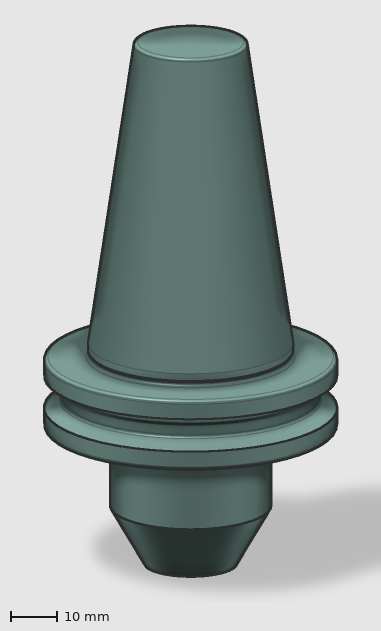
import cadquery as cq
import math

total_height = 118.2
flange_radius = 63.5 / 2

gauge_radius = 22.2
taper_length = 68.3
taper_ratio = 7 / 24
gauge_z = total_height - taper_length
shank_top_radius = gauge_radius - taper_length * taper_ratio / 2
shank_top_rounding = 0.8

gauge_band_height = 1.7
neck_radius = 21.8
neck_base_fillet = 0.8

flange_top_z = 46.8
flange_bottom_z = 30.9
flange_edge_rounding = 0.8
groove_center_z = 38.9
groove_mouth_width = 7.3
groove_floor_radius = 28.0
groove_wall_angle = math.radians(30)
groove_floor_fillet = 0.8

body_radius = 17.5
body_root_fillet = 2.0
nose_height = 13.1
nose_tip_radius = 10.0


def revolve_profile(points):
    """Revolve a closed (radius, z) outline about the Z axis."""
    return cq.Workplane("XZ").polyline(points).close().revolve(360, (0, 0, 0), (0, 1, 0))


def circle_edges(solid, radius, z):
    """Select the full-circle edge of the given radius and height."""
    margin = 0.01
    reach = radius + margin
    return solid.edges(
        cq.selectors.BoxSelector(
            (-reach, -reach, z - margin), (reach, reach, z + margin), boundingbox=True
        )
    ).edges(cq.selectors.RadiusNthSelector(-1))


def make_blank():
    """Shank, neck, plain flange, body and nose as one turned solid."""
    neck_step = gauge_radius - neck_radius
    band_bottom_z = gauge_z - gauge_band_height
    return revolve_profile([
        (0, 0),
        (nose_tip_radius, 0),
        (body_radius, nose_height),
        (body_radius, flange_bottom_z),
        (flange_radius, flange_bottom_z),
        (flange_radius, flange_top_z),
        (neck_radius, flange_top_z),
        (neck_radius, band_bottom_z - neck_step),
        (gauge_radius, band_bottom_z),
        (gauge_radius, gauge_z),
        (shank_top_radius, total_height),
        (0, total_height),
    ])


def round_edges(blank):
    """Round the shank top, the flange rims and the two inner corners at the flange."""
    roundings = [
        (shank_top_radius, total_height, shank_top_rounding),
        (flange_radius, flange_top_z, flange_edge_rounding),
        (flange_radius, flange_bottom_z, flange_edge_rounding),
        (neck_radius, flange_top_z, neck_base_fillet),
        (body_radius, flange_bottom_z, body_root_fillet),
    ]
    for radius, z, rounding in roundings:
        blank = circle_edges(blank, radius, z).fillet(rounding)
    return blank


def make_groove_ring():
    """Ring that cuts the V groove, with rounded corners at its floor."""
    mouth_half = groove_mouth_width / 2
    wall_rise = (flange_radius - groove_floor_radius) * math.tan(groove_wall_angle)
    floor_half = mouth_half - wall_rise
    clearance = 1.2
    outer_half = mouth_half + clearance * math.tan(groove_wall_angle)
    outer_radius = flange_radius + clearance
    ring = revolve_profile([
        (groove_floor_radius, groove_center_z - floor_half),
        (outer_radius, groove_center_z - outer_half),
        (outer_radius, groove_center_z + outer_half),
        (groove_floor_radius, groove_center_z + floor_half),
    ])
    for side in (-1, 1):
        floor_corner = circle_edges(ring, groove_floor_radius, groove_center_z + side * floor_half)
        ring = floor_corner.fillet(groove_floor_fillet)
    return ring


result = round_edges(make_blank()).cut(make_groove_ring())